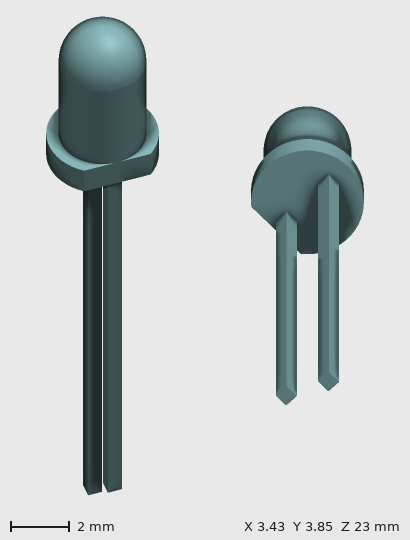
import cadquery as cq

lens_diameter = 3.0
lens_radius = lens_diameter / 2
lens_height = 5.0

base_diameter = 3.85
base_height = 1.0
flat_x = lens_radius

lead_width = 0.5
lead_spacing = 2.0
overall_height = 23.0
long_lead_length = overall_height - base_height - lens_height
lead_length_difference = 2.0
short_lead_length = long_lead_length - lead_length_difference


def make_lens():
    """Revolve a cylinder with a hemispherical top about the Z axis."""
    shoulder_z = base_height + lens_height - lens_radius
    tip_z = base_height + lens_height
    return (
        cq.Workplane("XZ")
        .moveTo(0, base_height)
        .lineTo(lens_radius, base_height)
        .lineTo(lens_radius, shoulder_z)
        .radiusArc((0, tip_z), -lens_radius)
        .close()
        .revolve(360, (0, 0, 0), (0, 1, 0))
    )


def make_flange():
    """Round disc with its +X side cut flat."""
    disc = cq.Workplane("XY").circle(base_diameter / 2).extrude(base_height)
    beyond_flat = (
        cq.Workplane("XY")
        .box(base_diameter, base_diameter, base_height, centered=(False, True, False))
        .translate((flat_x, 0, 0))
    )
    return disc.cut(beyond_flat)


def make_lead(center_x, length):
    """Square leg reaching down from the underside of the base."""
    return cq.Workplane("XY").center(center_x, 0).rect(lead_width, lead_width).extrude(-length)


def make_base():
    """Flange with the long lead on the -X side and the short lead on the +X side."""
    base = make_flange()
    for side, length in ((-1, long_lead_length), (1, short_lead_length)):
        base = base.union(make_lead(side * lead_spacing / 2, length))
    return base


lens = make_lens()
base = make_base()

result = cq.Compound.makeCompound([lens.val(), base.val()])